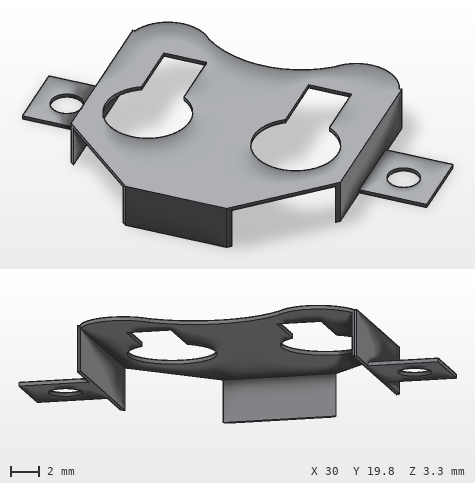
import cadquery as cq
import math

overall_width = 30
depth = 19.75
height = 3.3
sheet = 0.27

body_width = 19.98
front_width = 7.5
corner_y = 5.75
side_end_y = 17.75
lobe_radius = 3
lobe_x = 7.0
notch_radius = 7.4
notch_bottom_y = 16.98

keyhole_radius = 3.12
keyhole_x = 5.5
keyhole_y = 8.88
slot_width = 3.18
slot_end_y = 15.95
left_slot_x = -5.4
right_slot_x = 5.35

tab_width = 5.15
tab_y = 12.0
tab_hole_diameter = 2.35
tab_hole_y = 11.88
left_hole_x = -12.63
right_hole_x = 12.35

half_body = body_width / 2
half_front = front_width / 2
lobe_y = depth - lobe_radius

notch_center_y = notch_bottom_y + notch_radius
center_rise = notch_center_y - lobe_y
center_distance = math.hypot(lobe_x, center_rise)
along = (lobe_radius**2 - notch_radius**2 + center_distance**2) / (2 * center_distance)
across = math.sqrt(lobe_radius**2 - along**2)
notch_end_x = lobe_x - (along * lobe_x + across * center_rise) / center_distance
notch_end_y = lobe_y + (along * center_rise - across * lobe_x) / center_distance
lobe_start_x = lobe_x + math.sqrt(lobe_radius**2 - (side_end_y - lobe_y) ** 2)


def block(x_min, x_max, y_min, y_max, z_height):
    """Box standing on Z = 0."""
    return (
        cq.Workplane("XY")
        .box(x_max - x_min, y_max - y_min, z_height, centered=False)
        .translate((x_min, y_min, 0))
    )


def body_prism():
    """Full-height prism over the body outline."""
    return (
        cq.Workplane("XY")
        .moveTo(-half_front, 0)
        .lineTo(half_front, 0)
        .lineTo(half_body, corner_y)
        .lineTo(half_body, side_end_y)
        .lineTo(lobe_start_x, side_end_y)
        .threePointArc((lobe_x, depth), (notch_end_x, notch_end_y))
        .threePointArc((0, notch_bottom_y), (-notch_end_x, notch_end_y))
        .threePointArc((-lobe_x, depth), (-lobe_start_x, side_end_y))
        .lineTo(-half_body, side_end_y)
        .lineTo(-half_body, corner_y)
        .close()
        .extrude(height)
    )


def keyhole(circle_x, slot_x):
    """Cutter for a round opening with a straight slot running to the rear."""
    circle = cq.Workplane("XY").center(circle_x, keyhole_y).circle(keyhole_radius).extrude(height)
    half_slot = slot_width / 2
    slot = block(slot_x - half_slot, slot_x + half_slot, keyhole_y, slot_end_y, height)
    return circle.union(slot).translate((0, 0, height - sheet))


def tab(x_min, x_max, hole_x):
    """Flat foot with a round hole."""
    foot = block(x_min, x_max, tab_y - tab_width / 2, tab_y + tab_width / 2, sheet)
    hole = cq.Workplane("XY").center(hole_x, tab_hole_y).circle(tab_hole_diameter / 2).extrude(sheet)
    return foot.cut(hole)


inner_half = half_body - sheet
hollow = block(-inner_half, inner_half, sheet, depth, height - sheet)
shell = body_prism().cut(hollow)

shell = shell.cut(keyhole(-keyhole_x, left_slot_x))
shell = shell.cut(keyhole(keyhole_x, right_slot_x))

left_tab = tab(-overall_width / 2, -inner_half, left_hole_x)
right_tab = tab(inner_half, overall_width / 2, right_hole_x)
result = shell.union(left_tab).union(right_tab)